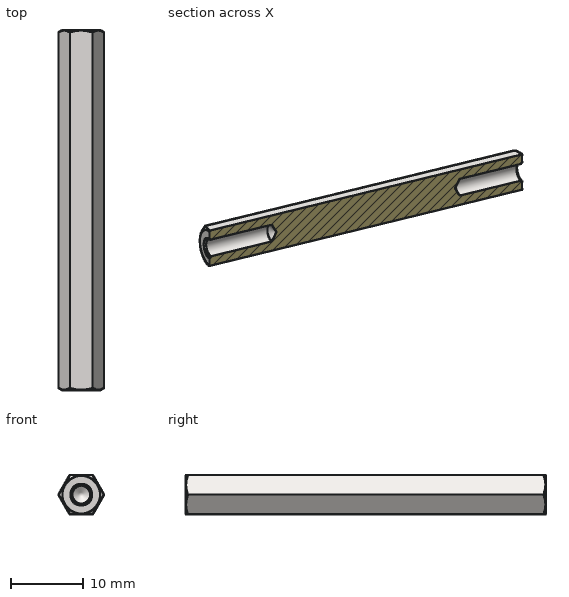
import cadquery as cq
import math

length = 50.0
across_flats = 5.5
across_corners = across_flats / math.cos(math.radians(30))

end_face_diameter = 5.25
corner_chamfer_angle = 30.0
corner_chamfer_height = (
    (across_corners - end_face_diameter) / 2 * math.tan(math.radians(corner_chamfer_angle))
)

hole_diameter = 2.5
hole_depth = 10.0
drill_point_angle = 120.0
countersink_diameter = 3.0
countersink_angle = 90.0


def hexagonal_bar():
    """Hexagonal bar centred on the origin, with two flats facing up and down."""
    return (
        cq.Workplane("XZ")
        .polygon(6, across_corners)
        .extrude(length / 2, both=True)
    )


def chamfer_envelope():
    """Turned body whose coned ends trim the corners of the bar."""
    corner_radius = across_corners / 2
    end_face_radius = end_face_diameter / 2
    end_y = length / 2
    cone_y = end_y - corner_chamfer_height
    return (
        cq.Workplane("XY")
        .moveTo(0, -end_y)
        .lineTo(end_face_radius, -end_y)
        .lineTo(corner_radius, -cone_y)
        .lineTo(corner_radius, cone_y)
        .lineTo(end_face_radius, end_y)
        .lineTo(0, end_y)
        .close()
        .revolve(360, (0, 0, 0), (0, 1, 0))
    )


def blind_hole():
    """Drilled and countersunk hole entering from the -Y end."""
    hole_radius = hole_diameter / 2
    countersink_radius = countersink_diameter / 2
    countersink_slope = math.tan(math.radians(countersink_angle / 2))
    countersink_depth = (countersink_radius - hole_radius) / countersink_slope
    drill_point_height = hole_radius / math.tan(math.radians(drill_point_angle / 2))
    end_y = -length / 2
    return (
        cq.Workplane("XY")
        .moveTo(0, end_y)
        .lineTo(countersink_radius, end_y)
        .lineTo(hole_radius, end_y + countersink_depth)
        .lineTo(hole_radius, end_y + hole_depth)
        .lineTo(0, end_y + hole_depth + drill_point_height)
        .close()
        .revolve(360, (0, 0, 0), (0, 1, 0))
    )


near_hole = blind_hole()
far_hole = near_hole.mirror("XZ")

result = hexagonal_bar().intersect(chamfer_envelope()).cut(near_hole).cut(far_hole)